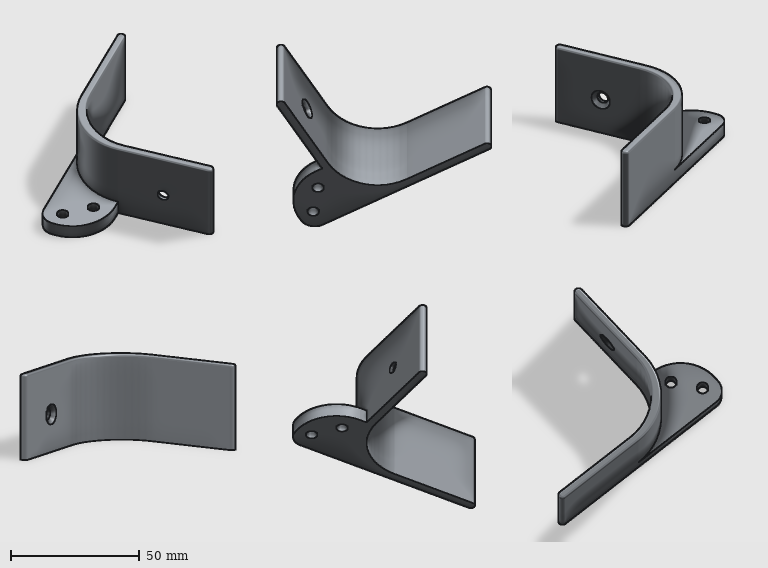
import cadquery as cq
import math

lean = math.radians(3.0)
wall_height = 33.9
wall_thickness = 3.4
arm_length = 63.97
outer_bend_radius = 24.0
inner_bend_radius = 22.0
top_edge_radius = 1.0

plate_thickness = 6.0
plate_depth = 19.69
plate_corner_radius = 6.0
plate_sweep_radius = 18.0

hole_diameter = 4.5
plate_hole_centers = [(7.15, -13.65), (17.2, -6.1)]
arm_hole_x = 43.8
arm_hole_z = 15.0
countersink_diameter = 8.0

tip_radius = wall_thickness / 2
tangent_factor = 1 / math.tan((math.pi / 2 - lean) / 2)
bend_start_x = outer_bend_radius * tangent_factor


def along_lean(distance, offset=0.0):
    """Point at a distance along the leaning arm, offset inwards from its outer face."""
    return (
        distance * math.sin(lean) + offset * math.cos(lean),
        distance * math.cos(lean) - offset * math.sin(lean),
    )


def bend_middle(corner, radius):
    """Middle point of a bend arc that rounds the given sharp corner of the wall."""
    half_angle = (math.pi / 2 - lean) / 2
    distance = radius / math.sin(half_angle) - radius
    return (
        corner[0] + distance * math.cos(half_angle),
        corner[1] + distance * math.sin(half_angle),
    )


def make_wall():
    straight_length = arm_length - tip_radius

    inner_corner_distance = wall_thickness * tangent_factor
    inner_corner = (inner_corner_distance, wall_thickness)
    inner_tangent = inner_bend_radius * tangent_factor
    inner_start_x = inner_corner_distance + inner_tangent

    profile = (
        cq.Workplane("XY")
        .moveTo(bend_start_x, 0)
        .lineTo(straight_length, 0)
        .threePointArc((arm_length, tip_radius), (straight_length, wall_thickness))
        .lineTo(inner_start_x, wall_thickness)
        .threePointArc(
            bend_middle(inner_corner, inner_bend_radius),
            along_lean(inner_start_x, wall_thickness),
        )
        .lineTo(*along_lean(straight_length, wall_thickness))
        .threePointArc(along_lean(arm_length, tip_radius), along_lean(straight_length))
        .lineTo(*along_lean(bend_start_x))
        .threePointArc(bend_middle((0, 0), outer_bend_radius), (bend_start_x, 0))
        .close()
    )
    return profile.extrude(wall_height).faces(">Z").edges().fillet(top_edge_radius)


def plate_arc_middle(distance, offset, radius, side):
    """Middle of a far corner arc with the given centre; side is -1 or 1 across the lean."""
    reach = radius * math.sqrt(0.5)
    return along_lean(distance - reach, offset + side * reach)


def make_plate():
    plate_width = bend_start_x * math.cos(lean)
    corner_distance = plate_corner_radius - plate_depth
    sweep_distance = plate_sweep_radius - plate_depth
    sweep_offset = plate_width - plate_sweep_radius
    return (
        cq.Workplane("XY")
        .moveTo(bend_start_x, 0)
        .lineTo(*along_lean(sweep_distance, plate_width))
        .threePointArc(
            plate_arc_middle(sweep_distance, sweep_offset, plate_sweep_radius, 1),
            along_lean(-plate_depth, sweep_offset),
        )
        .lineTo(*along_lean(-plate_depth, plate_corner_radius))
        .threePointArc(
            plate_arc_middle(corner_distance, plate_corner_radius, plate_corner_radius, -1),
            along_lean(corner_distance),
        )
        .lineTo(*along_lean(bend_start_x))
        .threePointArc(bend_middle((0, 0), outer_bend_radius), (bend_start_x, 0))
        .close()
        .extrude(plate_thickness)
    )


def make_plate_holes():
    return (
        cq.Workplane("XY")
        .pushPoints(plate_hole_centers)
        .circle(hole_diameter / 2)
        .extrude(plate_thickness)
    )


def make_arm_hole():
    hole_radius = hole_diameter / 2
    sink_radius = countersink_diameter / 2
    sink_start_y = wall_thickness - (sink_radius - hole_radius)
    return (
        cq.Workplane("XY")
        .polyline([
            (0, 0),
            (hole_radius, 0),
            (hole_radius, sink_start_y),
            (sink_radius, wall_thickness),
            (0, wall_thickness),
        ])
        .close()
        .revolve(360, (0, 0, 0), (0, 1, 0))
        .translate((arm_hole_x, 0, arm_hole_z))
    )


bracket = make_wall().union(make_plate())
result = bracket.cut(make_plate_holes()).cut(make_arm_hole())